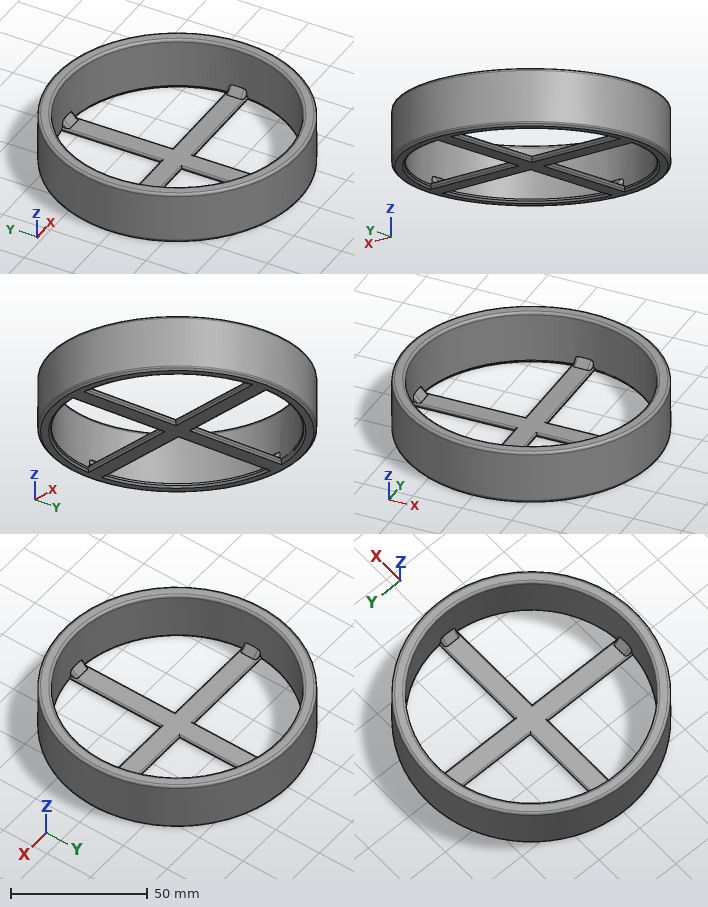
import cadquery as cq

outer_diameter = 102.5
bore_diameter = 92.5
height = 22.0
rim_rounding = 1.0

bottom_chamfer = 1.0
chamfer_blend = 0.9

spoke_width = 8.6
spoke_thickness = 2.0
spoke_rounding = 0.6

gusset_size = 3.0
gusset_width = spoke_width - 2 * spoke_rounding
gusset_rounding = 1.0

bore_radius = bore_diameter / 2
ring_middle_radius = (outer_diameter + bore_diameter) / 4


def soften_bottom(body, edges):
    body = body.faces("<Z").edges(edges).chamfer(bottom_chamfer)
    margin = bottom_chamfer / 10
    reach = outer_diameter
    chamfer_tops = cq.selectors.BoxSelector(
        (-reach, -reach, bottom_chamfer - margin),
        (reach, reach, bottom_chamfer + margin),
        boundingbox=True,
    )
    return body.edges(chamfer_tops).edges(edges).fillet(chamfer_blend)


def make_ring():
    ring = cq.Workplane("XY").circle(outer_diameter / 2).circle(bore_radius).extrude(height)
    ring = ring.faces(">Z").edges().fillet(rim_rounding)
    return soften_bottom(ring, "%CIRCLE")


def make_spoke_bar():
    length = 2 * ring_middle_radius
    bar = cq.Workplane("XY").box(length, spoke_width, spoke_thickness, centered=(True, True, False))
    bar = bar.faces(">Z").edges("|X").fillet(spoke_rounding)
    return soften_bottom(bar, "|X")


def make_gusset():
    toe_radius = bore_radius - gusset_size
    reach = ring_middle_radius - toe_radius
    foot_height = spoke_thickness - spoke_rounding
    gusset = (
        cq.Workplane("XZ")
        .moveTo(toe_radius, spoke_thickness)
        .lineTo(ring_middle_radius, spoke_thickness + reach)
        .lineTo(ring_middle_radius, foot_height)
        .lineTo(toe_radius, foot_height)
        .close()
        .extrude(gusset_width / 2, both=True)
    )
    slope_sides = cq.selectors.BoxSelector(
        (toe_radius, -gusset_width, spoke_thickness + reach / 4),
        (ring_middle_radius - reach / 4, gusset_width, spoke_thickness + reach * 3 / 4),
    )
    return gusset.edges(slope_sides).fillet(gusset_rounding)


spoke_bar = make_spoke_bar()
result = make_ring().union(spoke_bar).union(spoke_bar.rotate((0, 0, 0), (0, 0, 1), 90))

gusset = make_gusset()
for angle in (0, 90, 180, 270):
    result = result.union(gusset.rotate((0, 0, 0), (0, 0, 1), angle))